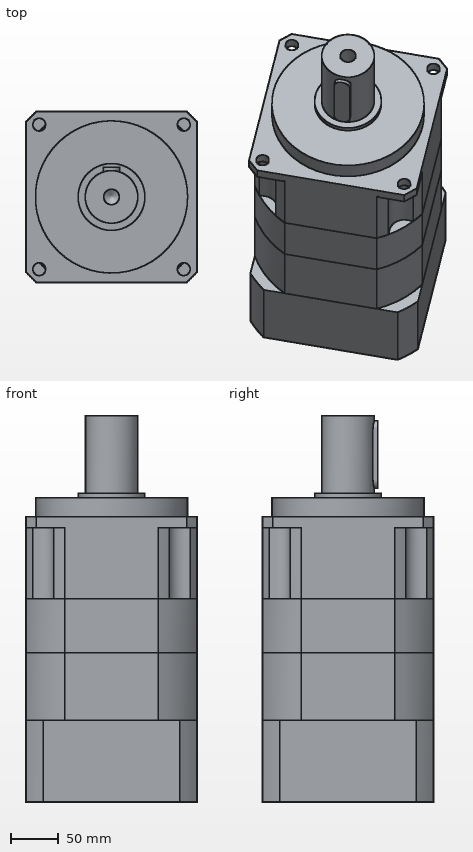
import cadquery as cq
import math

adapter_top = 86.0
ring_top = 157.0
carrier_top = 213.5
flange_bottom = 288.3
flange_top = 300.0
pilot_top = 320.0
collar_top = 325.0
shaft_top = 406.0

body_width = 180.0
adapter_corner_diameter = 230.0
body_corner_diameter = 205.0

flange_chamfer = 11.0
pilot_diameter = 160.0
mount_hole_pitch = 152.0
mount_hole_diameter = 13.5

pocket_radius = 15.5
pocket_side = 48.7

collar_diameter = 70.2
shaft_diameter = 55.2
centre_hole_diameter = 16.2
centre_hole_depth = 32.5
drill_point_angle = 118.0

key_width = 17.0
key_length = 71.0
key_depth = 10.5
key_face_y = 31.3
key_end_gap = 5.3


def disc(diameter, bottom, top):
    """Cylinder about the gearbox axis."""
    return cq.Workplane("XY").workplane(offset=bottom).circle(diameter / 2).extrude(top - bottom)


def square_block(bottom, top):
    """Full-width square block centred on the gearbox axis."""
    return cq.Workplane("XY").workplane(offset=bottom).rect(body_width, body_width).extrude(top - bottom)


def turned_block(corner_diameter, bottom, top):
    """Square block whose corners are turned down about the gearbox axis."""
    return square_block(bottom, top).intersect(disc(corner_diameter, bottom, top))


def square_pattern(pitch, bottom):
    """Workplane holding the four corner points of a centred square."""
    return cq.Workplane("XY").workplane(offset=bottom).rect(pitch, pitch, forConstruction=True).vertices()


def corner_pockets():
    inner_wall = mount_hole_pitch / 2 - pocket_radius
    pocket_pitch = 2 * inner_wall + pocket_side
    pockets = (
        square_pattern(pocket_pitch, carrier_top)
        .rect(pocket_side, pocket_side)
        .extrude(flange_bottom - carrier_top)
    )
    return pockets.edges("|Z").fillet(pocket_radius)


def mounting_flange():
    plate = square_block(flange_bottom, flange_top).edges("|Z").chamfer(flange_chamfer)
    holes = (
        square_pattern(mount_hole_pitch, flange_bottom)
        .circle(mount_hole_diameter / 2)
        .extrude(flange_top - flange_bottom)
    )
    return plate.cut(holes)


def make_housing():
    column = turned_block(body_corner_diameter, carrier_top, flange_bottom).cut(corner_pockets())
    pilot = disc(pilot_diameter, flange_top, pilot_top)
    return column.union(mounting_flange()).union(pilot)


def centre_hole():
    """Blind drilled hole with a conical bottom in the end of the shaft."""
    radius = centre_hole_diameter / 2
    cone_top = shaft_top - centre_hole_depth
    cone_tip = cone_top - radius / math.tan(math.radians(drill_point_angle / 2))
    half_section = (
        cq.Workplane("XZ")
        .moveTo(0, shaft_top)
        .lineTo(radius, shaft_top)
        .lineTo(radius, cone_top)
        .lineTo(0, cone_tip)
        .close()
    )
    return half_section.revolve(360, (0, 0, 0), (0, 1, 0))


def shaft_key():
    key_centre_z = shaft_top - key_end_gap - key_length / 2
    face = cq.Workplane("XZ", origin=(0, key_face_y, key_centre_z))
    return face.slot2D(key_length, key_width, 90).extrude(key_depth)


def make_shaft():
    collar = disc(collar_diameter, pilot_top, collar_top)
    journal = disc(shaft_diameter, collar_top, shaft_top)
    return collar.union(journal).union(shaft_key()).cut(centre_hole())


adapter = turned_block(adapter_corner_diameter, 0, adapter_top)
ring = turned_block(body_corner_diameter, adapter_top, ring_top)
carrier = turned_block(body_corner_diameter, ring_top, carrier_top)
housing = make_housing()
shaft = make_shaft()

result = cq.Compound.makeCompound([
    adapter.val(),
    ring.val(),
    carrier.val(),
    housing.val(),
    shaft.val(),
])